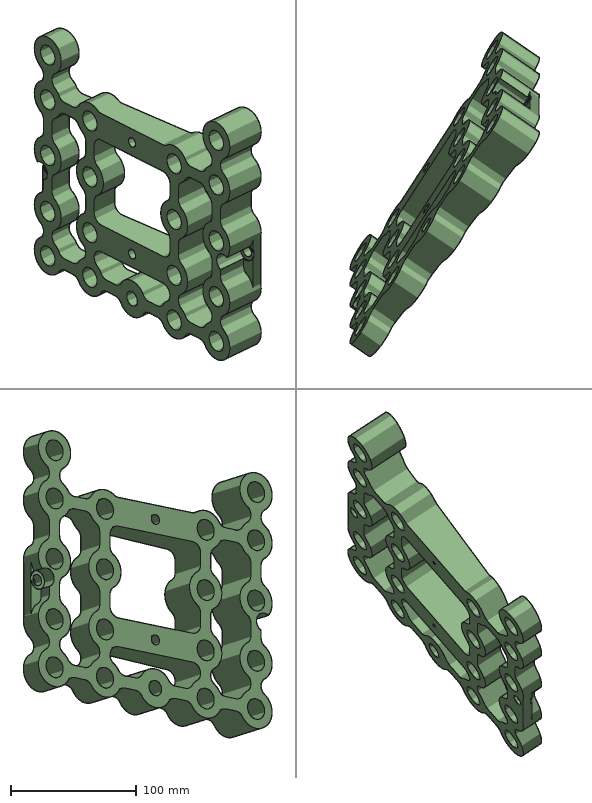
import cadquery as cq
import math


overall_width = 232
ring_radius = 16.0
ring_bore = 17.0
bar_width = 10.2
crossbar_width = 24.0
joint_fillet = 7.7
same_point = 0.02

outer_column = overall_width / 2 - ring_radius
inner_column = outer_column / 2
wide_pitch = inner_column
pitch_ratio = 4 / 5
narrow_pitch = pitch_ratio * wide_pitch

row_bottom = 0
row_low = row_bottom + narrow_pitch
row_middle = row_low + wide_pitch
row_high = row_middle + wide_pitch
row_top = row_high + narrow_pitch

thin_end = 18.3
thick_end = 36.5
middle_thickness = (thin_end + thick_end) / 2
front_slope = (thick_end - thin_end) / overall_width
front_angle = math.degrees(math.atan(front_slope))

center_bore = 12.5
pin_bore = 8.1
pin_bore_depth = 11.5
pin_cone_angle = 118
pin_vent = 2.8

pad_inset = 0.5
pad_edge = overall_width / 2 - pad_inset
pad_thickness = 9.0
screw_hole = 9.0
screw_offset_x = 8.1
screw_offset_z = 16.7
screw_x = outer_column + screw_offset_x
screw_z = row_middle - screw_offset_z
screw_head = 15.3
screw_seat = 8.0

outer_rows = [row_bottom, row_low, row_middle, row_high, row_top]
inner_rows = [row_bottom, row_low, row_middle, row_high]
bored_centers = []
bars = []
for side in (-1, 1):
    outer_x = side * outer_column
    inner_x = side * inner_column
    for column_x, rows in ((outer_x, outer_rows), (inner_x, inner_rows)):
        bored_centers += [(column_x, z) for z in rows]
        bars += [((column_x, low), (column_x, high), bar_width) for low, high in zip(rows, rows[1:])]
    bars.append(((outer_x, row_high), (inner_x, row_high), bar_width))
    bars.append(((outer_x, row_bottom), (inner_x, row_bottom), bar_width))
    bars.append(((inner_x, row_bottom), (0, row_bottom), bar_width))
for z in (row_low, row_high):
    bars.append(((-inner_column, z), (inner_column, z), crossbar_width))
ring_centers = bored_centers + [(0, row_bottom)]


def bar_body(start, end, width):
    """Straight bar along X or Z between two ring centers."""
    (x0, z0), (x1, z1) = start, end
    length = math.hypot(x1 - x0, z1 - z0)
    size = (length, width) if z0 == z1 else (width, length)
    sketch = cq.Workplane("XZ").center((x0 + x1) / 2, (z0 + z1) / 2).rect(*size)
    return sketch.extrude(thick_end)


def bar_corners(start, end, width):
    """The four points where the sides of a bar run into the rings at its ends."""
    reach = math.sqrt(ring_radius**2 - (width / 2) ** 2)
    corners = []
    for (x, z), (far_x, far_z) in ((start, end), (end, start)):
        length = math.hypot(far_x - x, far_z - z)
        along_x, along_z = (far_x - x) / length, (far_z - z) / length
        for offset in (-width / 2, width / 2):
            corner_x = x + reach * along_x - offset * along_z
            corner_z = z + reach * along_z + offset * along_x
            corners.append((corner_x, corner_z))
    return corners


def lattice():
    """Rings and bars at full thickness, with every ring-to-bar corner rounded."""
    body = cq.Workplane("XZ").pushPoints(ring_centers).circle(ring_radius).extrude(thick_end)
    corners = []
    for bar in bars:
        body = body.union(bar_body(*bar))
        corners += bar_corners(*bar)

    def is_corner(edge):
        center = edge.Center()
        return any(math.hypot(center.x - x, center.z - z) < same_point for x, z in corners)

    return body.edges("|Y").filter(is_corner).fillet(joint_fillet)


def front_waste():
    """Wedge in front of the tilted face."""
    half = overall_width / 2
    clearance = 2.3
    outline = [
        (-half - clearance, -thin_end + front_slope * clearance),
        (half + clearance, -thick_end - front_slope * clearance),
        (half + clearance, -thick_end - clearance),
        (-half - clearance, -thick_end - clearance),
    ]
    bottom = row_bottom - ring_radius - clearance
    height = row_top - bottom + ring_radius + clearance
    return cq.Workplane("XY").workplane(offset=bottom).polyline(outline).close().extrude(height)


def screw_pad(side):
    """Thin plate filling the notch between the low and middle rings of an outer column."""
    pad_width = pad_edge - outer_column
    pad_x = side * (outer_column + pad_width / 2)
    pad_z = (row_low + row_middle) / 2
    return cq.Workplane("XZ").center(pad_x, pad_z).rect(pad_width, wide_pitch).extrude(pad_thickness)


def screw_cut(side):
    """Through hole with a head clearance open to the front."""
    x = side * screw_x
    hole = cq.Workplane("XZ").center(x, screw_z).circle(screw_hole / 2).extrude(thick_end)
    head = cq.Workplane("XZ", origin=(x, -screw_seat, screw_z)).circle(screw_head / 2).extrude(thick_end)
    return hole.union(head)


def front_drill(z, profile):
    """Revolve a (radius, depth) profile about the front face normal on the center line."""
    drill = cq.Workplane("XY").polyline(profile).close().revolve(360, (0, 0), (0, 1))
    drill = drill.rotate((0, 0, 0), (0, 0, 1), -front_angle)
    return drill.translate((0, -middle_thickness, z))


def center_bore_cut():
    """Straight through hole in the center ring of the bottom row."""
    radius = center_bore / 2
    profile = [(0, -thick_end), (radius, -thick_end), (radius, thick_end), (0, thick_end)]
    return front_drill(row_bottom, profile)


def pin_cut(z):
    """Bore with a conical bottom that ends in a narrow through hole."""
    bore_radius = pin_bore / 2
    vent_radius = pin_vent / 2
    cone_depth = (bore_radius - vent_radius) / math.tan(math.radians(pin_cone_angle / 2))
    profile = [
        (0, -thick_end),
        (bore_radius, -thick_end),
        (bore_radius, pin_bore_depth),
        (vent_radius, pin_bore_depth + cone_depth),
        (vent_radius, thick_end),
        (0, thick_end),
    ]
    return front_drill(z, profile)


result = lattice().cut(front_waste())
for side in (-1, 1):
    result = result.union(screw_pad(side))
ring_bores = cq.Workplane("XZ").pushPoints(bored_centers).circle(ring_bore / 2).extrude(thick_end)
result = result.cut(ring_bores)
for side in (-1, 1):
    result = result.cut(screw_cut(side))
result = result.cut(center_bore_cut())
for z in (row_low, row_high):
    result = result.cut(pin_cut(z))